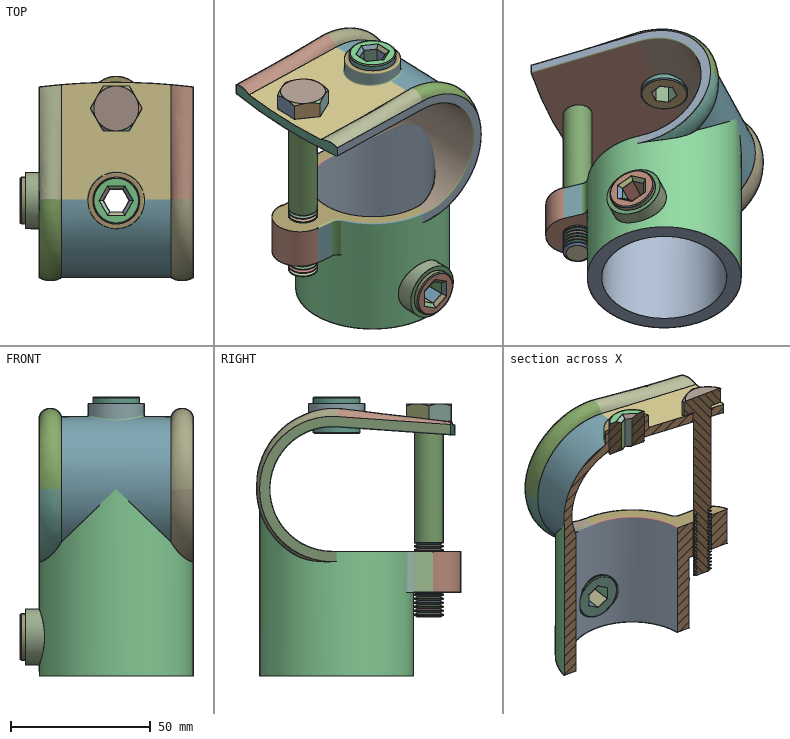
import cadquery as cq
import math

quarter_turn = math.pi / 2
hexagon_half_angle = math.radians(30.0)
tolerance = 0.01

tube_radius = 27.6
tube_bore_radius = 22.4
rim_fillet = 0.4

saddle_radius = 26.0
saddle_wall = 3.7
saddle_y = -1.6
saddle_z = 67.0
half_width = tube_radius
saddle_bore_radius = saddle_radius - saddle_wall
seat_z = saddle_z - saddle_bore_radius
saddle_top_z = saddle_z + saddle_radius

arm_slope = math.radians(4.0)
arm_start_tilt = quarter_turn + arm_slope
arm_reach_middle = 42.4
arm_reach_side = 40.7
strap_reach = arm_reach_middle + saddle_wall

lip_width = 8.0
lip_root_depth = 3.0
lip_side_height = 1.1
lip_top_height = 3.0
lip_tip_height = 0.9
lip_stations = 4

lug_radius = 10.0
lug_y = 34.5
lug_bottom_z = 30.0
lug_fillet = 3.0

bolt_y = 33.0
bolt_radius = 5.2
bolt_tip_z = 21.2
bolt_head_top_z = 97.4
bolt_head_flats = 16.1
bolt_head_chamfer_angle = math.radians(30.0)
thread_top_z = 47.8
thread_turns = 18
thread_depth = 1.0
thread_crest = 0.3
thread_root = 0.3
thread_tip_taper = 0.6

boss_radius = 10.1
boss_edge_fillet = 0.4
boss_base_fillet = 0.4
boss_top_z = 97.6
boss_side_x = -32.5
screw_radius = 8.4
screw_length = 13.1
screw_chamfer = 0.4
socket_flats = 8.0
socket_mouth_flats = 10.6
socket_mouth_depth = 1.3
top_screw_z = 99.9
side_screw_x = -34.4
side_screw_z = 14.0


def around_saddle(radius, tilt):
    """Y and Z of a point at a tilt about the saddle axis, measured from -Y toward +Z."""
    return saddle_y - radius * math.cos(tilt), saddle_z + radius * math.sin(tilt)


def arm_height(radius, y):
    """Z at a given Y of the sloping line that leaves the circle of this radius tangentially."""
    start_y, start_z = around_saddle(radius, arm_start_tilt)
    return start_z - (y - start_y) * math.tan(arm_slope)


def across_corners(flats):
    """Corner-to-corner size of a hexagon from its size across flats."""
    return flats / math.cos(hexagon_half_angle)


def cylinder_z(radius, z_bottom, z_top, y=0.0):
    return cq.Workplane("XY", origin=(0, y, z_bottom)).circle(radius).extrude(z_top - z_bottom)


def saddle_block(radius, reach, x_half):
    """U-shaped block along X: rounded on -Y, flat below and bounded above by the arm's slope."""
    profile = (
        cq.Workplane("YZ")
        .moveTo(reach, saddle_z - radius)
        .lineTo(saddle_y, saddle_z - radius)
        .threePointArc((saddle_y - radius, saddle_z), around_saddle(radius, arm_start_tilt))
        .lineTo(reach, arm_height(radius, reach))
        .close()
    )
    return profile.extrude(x_half, both=True)


def strap():
    """Saddle wall and arm together, at full width, with the tip still square."""
    outer = saddle_block(saddle_radius, strap_reach, half_width)
    below_arm = cq.Workplane("XY").box(
        2 * half_width, strap_reach, saddle_z, centered=(True, False, False)
    )
    return outer.cut(below_arm).cut(saddle_block(saddle_bore_radius, strap_reach, half_width))


def lip_section(y, z, tilt, height):
    """Closed wire across a lip: an arc above the strap and a rectangular root inside it.

    The tilt is the angle of the outward direction, measured from -Y toward +Z.
    """
    outward = cq.Vector(0, -math.cos(tilt), math.sin(tilt))
    across = cq.Vector(1, 0, 0)
    start = cq.Vector(-half_width, y, z)
    end = start + across * lip_width
    crest = start + across * (lip_width / 2) + outward * height
    root = outward * -lip_root_depth
    return cq.Wire.assembleEdges([
        cq.Edge.makeThreePointArc(start, crest, end),
        cq.Edge.makeLine(end, end + root),
        cq.Edge.makeLine(end + root, start + root),
        cq.Edge.makeLine(start + root, start),
    ])


def saddle_lip_section(tilt):
    """The lip keeps its side height up to the level of the axis, then grows toward the arm."""
    growth = max(0.0, tilt) / arm_start_tilt
    height = lip_side_height + growth * (lip_top_height - lip_side_height)
    return lip_section(*around_saddle(saddle_radius, tilt), tilt, height)


def lip_pieces():
    """Lip along the -X edge: below the axis, above the axis, and along the arm."""
    steps = [i / lip_stations for i in range(lip_stations + 1)]
    rising = [saddle_lip_section(step * arm_start_tilt) for step in steps]
    falling = [saddle_lip_section(-step * quarter_turn) for step in steps]
    tip_z = arm_height(saddle_radius, arm_reach_middle)
    arm_tip = lip_section(arm_reach_middle, tip_z, arm_start_tilt, lip_tip_height)
    runs = [rising, falling, [rising[-1], arm_tip]]
    return [cq.Workplane(obj=cq.Solid.makeLoft(sections)) for sections in runs]


def arm_tip_trim():
    """Plan outline that leaves the arm with a gently curved tip."""
    return (
        cq.Workplane("XY")
        .moveTo(-half_width, -2 * tube_radius)
        .lineTo(half_width, -2 * tube_radius)
        .lineTo(half_width, arm_reach_side)
        .threePointArc((0, arm_reach_middle), (-half_width, arm_reach_side))
        .close()
        .extrude(2 * saddle_z)
    )


def lug_end():
    """Half-round outer end of the lug."""
    return (
        cq.Workplane("XY", origin=(0, 0, lug_bottom_z))
        .moveTo(lug_radius, lug_y)
        .threePointArc((0, lug_y + lug_radius), (-lug_radius, lug_y))
        .close()
        .extrude(seat_z - lug_bottom_z)
    )


def lug_neck():
    """Straight part of the lug, with a concave fillet where each side runs into the tube."""
    centre_x = lug_radius + lug_fillet
    centre_y = math.sqrt((tube_radius + lug_fillet) ** 2 - centre_x**2)
    on_tube = tube_radius / (tube_radius + lug_fillet)
    foot = (centre_x * on_tube, centre_y * on_tube)
    aim = math.atan2(foot[1] - centre_y, foot[0] - centre_x)
    middle_angle = (aim % (2 * math.pi) + math.pi) / 2
    middle = (
        centre_x + lug_fillet * math.cos(middle_angle),
        centre_y + lug_fillet * math.sin(middle_angle),
    )
    return (
        cq.Workplane("XY", origin=(0, 0, lug_bottom_z))
        .moveTo(*foot)
        .threePointArc(middle, (lug_radius, centre_y))
        .lineTo(lug_radius, lug_y)
        .lineTo(-lug_radius, lug_y)
        .lineTo(-lug_radius, centre_y)
        .threePointArc((-middle[0], middle[1]), (-foot[0], foot[1]))
        .lineTo(0, tube_bore_radius)
        .close()
        .extrude(seat_z - lug_bottom_z)
    )


def saddle_with_arm():
    body = strap()
    for piece in lip_pieces():
        body = body.union(piece).union(piece.mirror("YZ"))
    return body.intersect(arm_tip_trim())


def is_rim_edge(edge):
    """True for the sharp edges around the seat and along both ends of the saddle opening."""
    box = edge.BoundingBox()
    middle = edge.positionAt(0.5)
    level = box.zlen < tolerance and abs(middle.z - seat_z) < tolerance
    around_seat = level and 0 < middle.y < lug_y - tolerance
    at_end = box.xlen < tolerance and abs(abs(middle.x) - half_width) < tolerance
    from_axis = math.hypot(middle.y - saddle_y, middle.z - saddle_z)
    around_opening = at_end and abs(from_axis - saddle_bore_radius) < tolerance
    return around_seat or around_opening


def is_boss_base_edge(edge):
    """True for the edges where the top boss meets the saddle and the arm."""
    middle = edge.positionAt(0.5)
    on_boss = abs(math.hypot(middle.x, middle.y) - boss_radius) < tolerance
    return on_boss and saddle_z < middle.z < saddle_top_z + tolerance


def fillet_where(body, is_wanted, radius):
    edges = [edge for edge in body.edges().vals() if is_wanted(edge)]
    return cq.Workplane(obj=body.val().fillet(radius, edges))


def top_boss():
    boss = cylinder_z(boss_radius, saddle_top_z - saddle_wall / 2, boss_top_z)
    return boss.faces(">Z").edges().fillet(boss_edge_fillet)


def side_cylinder(radius, x_end):
    """Cylinder on the side screw's axis, running from the boss face to a given X."""
    face = cq.Workplane("YZ", origin=(boss_side_x, 0, side_screw_z))
    return face.circle(radius).extrude(x_end - boss_side_x)


def make_housing():
    tube = cylinder_z(tube_radius, 0, saddle_z)
    tube = tube.cut(saddle_block(saddle_bore_radius, tube_radius, half_width))
    body = saddle_with_arm().union(tube).union(lug_neck())
    body = body.cut(cylinder_z(tube_bore_radius, 0, saddle_z))
    body = fillet_where(body, is_rim_edge, rim_fillet)
    body = body.union(lug_end()).union(top_boss())
    body = fillet_where(body, is_boss_base_edge, boss_base_fillet)
    mid_wall = (tube_radius + tube_bore_radius) / 2
    body = body.union(side_cylinder(boss_radius, -mid_wall))
    body = body.cut(cylinder_z(bolt_radius, 0, 2 * saddle_z, bolt_y))
    body = body.cut(cylinder_z(screw_radius, saddle_z, 2 * saddle_z))
    return body.cut(side_cylinder(screw_radius, 0))


def bolt_thread_grooves():
    """Ring with a V-like trough for every turn of the thread, plus the taper at the tip."""
    root_radius = bolt_radius - thread_depth
    pitch = (thread_top_z - thread_tip_taper - bolt_tip_z) / thread_turns
    flank = (pitch - thread_crest - thread_root) / 2
    outside = 2 * bolt_radius
    profile = cq.Workplane("XZ").moveTo(outside, thread_top_z).lineTo(bolt_radius, thread_top_z)
    for turn in range(thread_turns):
        groove_top = thread_top_z - turn * pitch
        profile = (
            profile.lineTo(root_radius, groove_top - flank)
            .lineTo(root_radius, groove_top - flank - thread_root)
            .lineTo(bolt_radius, groove_top - pitch + thread_crest)
            .lineTo(bolt_radius, groove_top - pitch)
        )
    profile = profile.lineTo(root_radius, bolt_tip_z).lineTo(outside, bolt_tip_z).close()
    return profile.revolve(360, (0, 0, 0), (0, 1, 0)).translate((0, bolt_y, 0))


def bolt_head():
    """Hex head with chamfered corners, its flat underside resting on the high side of the arm."""
    underside_z = arm_height(saddle_radius, bolt_y - bolt_head_flats / 2)
    head = (
        cq.Workplane("XY", origin=(0, bolt_y, underside_z))
        .polygon(6, across_corners(bolt_head_flats))
        .extrude(bolt_head_top_z - underside_z)
    )
    face_radius = bolt_head_flats / 2
    cone_depth = bolt_head_top_z - underside_z
    cone_spread = cone_depth / math.tan(bolt_head_chamfer_angle)
    corner_cone = (
        cq.Workplane("XZ")
        .moveTo(0, bolt_head_top_z)
        .lineTo(face_radius, bolt_head_top_z)
        .lineTo(face_radius + cone_spread, underside_z)
        .lineTo(0, underside_z)
        .close()
        .revolve(360, (0, 0, 0), (0, 1, 0))
        .translate((0, bolt_y, 0))
    )
    return head.intersect(corner_cone)


def make_bolt():
    head = bolt_head()
    shank = cylinder_z(bolt_radius, bolt_tip_z, bolt_head_top_z, bolt_y)
    return shank.cut(bolt_thread_grooves()).union(head)


def make_grub_screw():
    """Set screw along Z with its outer end at Z = 0 and a hex socket right through it."""
    body = cq.Workplane("XY").circle(screw_radius).extrude(-screw_length)
    body = body.edges().chamfer(screw_chamfer)
    socket = cq.Workplane("XY").polygon(6, across_corners(socket_flats)).extrude(-screw_length)
    mouth = (
        cq.Workplane("XY")
        .polygon(6, across_corners(socket_mouth_flats))
        .workplane(offset=-socket_mouth_depth)
        .polygon(6, across_corners(socket_flats))
        .loft(ruled=True)
    )
    return body.cut(socket).cut(mouth)


housing = make_housing()
bolt = make_bolt()
screw_placements = [
    (0, (0, 0, top_screw_z)),
    (-90, (side_screw_x, 0, side_screw_z)),
]
grub_screws = []
for turn_about_y, outer_end in screw_placements:
    screw = make_grub_screw().rotate((0, 0, 0), (0, 1, 0), turn_about_y).translate(outer_end)
    grub_screws.append(screw.solids().val())

result = cq.Compound.makeCompound([housing.solids().val(), bolt.solids().val(), *grub_screws])